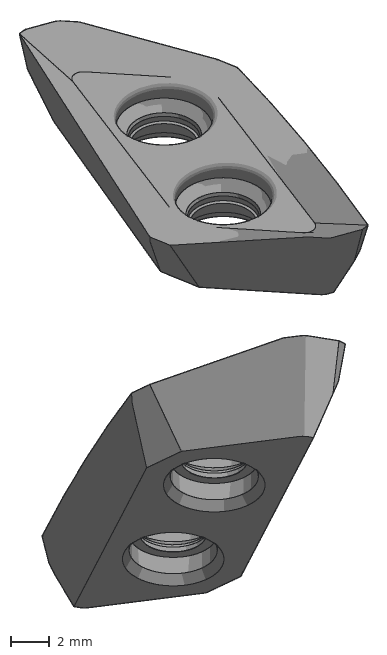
import cadquery as cq
import math


length = 23.0
width = 10.24
rim_height = 5.0
seat_height = 3.52

relief_angle = 19.5
facet_relief_angle = 26.5
long_wall_turn = -1.6
facet_turn = 31.0
slant_turn = 59.5
end_turn = 90.0
facet_base_start = (4.37, -3.89)
facet_base_end = (6.45, -2.65)

nose_edge_y = -4.32
nose_x, nose_y = -11.3, -4.74
edge_middle_x, edge_middle_y, edge_middle_z = -1.85, -5.05, 4.4
slant_peak_y = 1.5
slant_crease_share = 1 / 3
wall_round = 0.83

band_start_height = 3.04
band_middle_height = 3.15
nose_low_height = 2.3
nose_low_width = 0.1

hole_x, hole_y = 3.77, -0.05
hole_rim_radius = 3.0
seat_margin = 0.1
seat_acute_round = 0.6
seat_crease_y = 1.5
seat_blend_y = 2.05
seat_facet_angle = -66.0
sink_radius, sink_top, sink_bottom = 2.48, 3.04, 2.6
cone_top_radius, cone_top = 2.25, 2.35
cone_bottom_radius, cone_bottom = 1.93, 2.07
neck_radius, neck_top, neck_bottom = 1.86, 1.89, 1.59
throat_radius, throat_height = 1.72, 1.52
relief_bore_radius, relief_bore_bottom = 2.28, 0.53
mouth_radius = 2.62


def heading(angle):
    return (math.cos(math.radians(angle)), math.sin(math.radians(angle)))


def meet(point_a, turn_a, point_b, turn_b):
    """Point where two plan lines cross."""
    (ax, ay), (bx, by) = heading(turn_a), heading(turn_b)
    dx, dy = point_b[0] - point_a[0], point_b[1] - point_a[1]
    reach = (dx * by - dy * bx) / (ax * by - ay * bx)
    return (point_a[0] + reach * ax, point_a[1] + reach * ay)


def tangent(angle):
    return math.tan(math.radians(angle))


def wall_point(wall, z):
    """A plan point on the wall at height z, moved outward by its relief."""
    (x, y), turn, relief = wall
    dx, dy = heading(turn)
    offset = z * tangent(relief)
    return (x + offset * dy, y - offset * dx)


def wall_corner(wall_a, wall_b, z):
    """Point shared by two walls at height z."""
    x, y = meet(wall_point(wall_a, z), wall_a[1], wall_point(wall_b, z), wall_b[1])
    return cq.Vector(x, y, z)


def wall_at_x(wall, x, z):
    return cq.Vector(*meet(wall_point(wall, z), wall[1], (x, 0), end_turn), z)


def wall_at_y(wall, y, z):
    return cq.Vector(*meet(wall_point(wall, z), wall[1], (0, y), 0), z)


def on_circle(center, radius, angle, z):
    dx, dy = heading(angle)
    return cq.Vector(center[0] + radius * dx, center[1] + radius * dy, z)


def rounded(corner, turn_in, turn_out, radius):
    """Start, middle and end of the tangent arc rounding a left-turning corner."""
    half_turn = math.radians(turn_out - turn_in) / 2
    start_x, start_y = heading(turn_in)
    setback = radius * math.tan(half_turn)
    center = (corner.x - setback * start_x - radius * start_y,
              corner.y - setback * start_y + radius * start_x)
    angles = (turn_in - 90, (turn_in + turn_out) / 2 - 90, turn_out - 90)
    return [on_circle(center, radius, angle, corner.z) for angle in angles]


def half_turn_image(point):
    return cq.Vector(-point.x, -point.y, point.z)


def line(start, end):
    return cq.Edge.makeLine(start, end)


def arc(start, middle, end):
    return cq.Edge.makeThreePointArc(start, middle, end)


def path(*points):
    return [line(start, end) for start, end in zip(points, points[1:])]


def flat_face(*edges):
    return cq.Face.makeFromWires(cq.Wire.assembleEdges(edges))


def ruled(edge_a, edge_b):
    return cq.Face.makeRuledSurface(edge_a, edge_b)


end_base_x = length / 2 - rim_height * tangent(relief_angle)
long_wall = (facet_base_start, long_wall_turn, relief_angle)
facet_wall = (facet_base_start, facet_turn, facet_relief_angle)
slant_wall = (facet_base_end, slant_turn, relief_angle)
end_wall = ((end_base_x, 0), end_turn, relief_angle)
far_end_wall = ((-end_base_x, 0), -end_turn, relief_angle)

base_acute = wall_corner(far_end_wall, long_wall, 0)
base_facet_start = wall_corner(long_wall, facet_wall, 0)
base_facet_end = wall_corner(facet_wall, slant_wall, 0)
base_round = rounded(wall_corner(slant_wall, end_wall, 0), slant_turn, end_turn, wall_round)
next_base_acute = half_turn_image(base_acute)

nose_low = wall_corner(far_end_wall, long_wall, nose_low_height)
band_start_corner = wall_corner(far_end_wall, long_wall, band_start_height)
band_start = wall_at_x(long_wall, band_start_corner.x + nose_low_width, band_start_height)
band_middle = wall_at_x(long_wall, edge_middle_x, band_middle_height)
band_end = wall_corner(long_wall, facet_wall, band_start_height)

nose_end = cq.Vector(-length / 2, nose_edge_y, rim_height)
nose_start = cq.Vector(nose_x, nose_y, rim_height)
edge_middle = cq.Vector(edge_middle_x, edge_middle_y, edge_middle_z)
rim_facet_start = wall_at_y(facet_wall, -width / 2, seat_height)
rim_facet_end = wall_corner(facet_wall, slant_wall, seat_height)
slant_peak = wall_at_y(slant_wall, slant_peak_y, rim_height)
slant_crease = rim_facet_end + (slant_peak - rim_facet_end) * slant_crease_share
rim_round = rounded(wall_corner(slant_wall, end_wall, rim_height), slant_turn, end_turn, wall_round)
next_nose_end = half_turn_image(nose_end)

hole_center = (hole_x, hole_y)
seat_round = hole_rim_radius + seat_margin


def seat_arc_point(angle):
    """Point on the seat corner arc, concentric with the hole."""
    return on_circle(hole_center, seat_round, angle, seat_height)


arc_start_angle = -90
arc_end_angle = slant_turn - 90
seat_low = seat_arc_point(arc_start_angle)
seat_facet = seat_arc_point(seat_facet_angle)
seat_facet_middle = seat_arc_point((arc_start_angle + seat_facet_angle) / 2)
seat_blunt_middle = seat_arc_point((seat_facet_angle + arc_end_angle) / 2)
seat_slant_start = seat_arc_point(arc_end_angle)
seat_slant_xy = (seat_slant_start.x, seat_slant_start.y)
seat_crease = cq.Vector(*meet(seat_slant_xy, slant_turn, (0, seat_crease_y), 0), seat_height)
seat_blend = cq.Vector(*meet(seat_slant_xy, slant_turn, (0, seat_blend_y), 0), seat_height)
seat_acute = cq.Vector(*meet(seat_slant_xy, slant_turn, (0, -seat_low.y), 0), seat_height)
acute_start, acute_middle, acute_end = rounded(seat_acute, slant_turn, 180, seat_acute_round)
seat_start = half_turn_image(acute_end)

band_low_edge = arc(band_start, band_middle, band_end)
cutting_edge = cq.Edge.makeSpline([nose_start, edge_middle, rim_facet_start])
base_round_edge = arc(*base_round)
rim_round_edge = arc(*rim_round)

base_edges = path(base_acute, base_facet_start, base_facet_end, base_round[0])
base_edges += [base_round_edge, line(base_round[2], next_base_acute)]

seat_pieces = {
    "long": line(seat_start, seat_low),
    "facet": arc(seat_low, seat_facet_middle, seat_facet),
    "blunt": arc(seat_facet, seat_blunt_middle, seat_slant_start),
    "slant": line(seat_slant_start, seat_crease),
    "peak": line(seat_crease, seat_blend),
    "blend": line(seat_blend, acute_start),
    "acute": arc(acute_start, acute_middle, acute_end),
}


def side_faces():
    """Walls of half the part, from the base up to the cutting rim."""
    next_nose_low = half_turn_image(nose_low)
    return [
        flat_face(*path(base_acute, base_facet_start, band_end), band_low_edge,
                  *path(band_start, nose_low, base_acute)),
        ruled(band_low_edge, cutting_edge),
        ruled(line(nose_low, band_start), line(nose_end, nose_start)),
        flat_face(*path(base_facet_start, base_facet_end, rim_facet_end, rim_facet_start,
                        band_end, base_facet_start)),
        flat_face(*path(base_facet_end, base_round[0], rim_round[0], slant_peak, slant_crease,
                        rim_facet_end, base_facet_end)),
        ruled(base_round_edge, rim_round_edge),
        flat_face(*path(base_round[2], next_base_acute, next_nose_low, next_nose_end,
                        rim_round[2], base_round[2])),
    ]


def rake_faces():
    """Faces of half the part, from the seat up to the cutting rim."""
    return [
        flat_face(*path(nose_end, nose_start, seat_start, nose_end)),
        ruled(seat_pieces["long"], cutting_edge),
        ruled(seat_pieces["facet"], line(rim_facet_start, rim_facet_end)),
        ruled(seat_pieces["blunt"], line(rim_facet_end, slant_crease)),
        ruled(seat_pieces["slant"], line(slant_crease, slant_peak)),
        ruled(seat_pieces["peak"], line(slant_peak, rim_round[0])),
        ruled(seat_pieces["blend"], rim_round_edge),
        ruled(seat_pieces["acute"], line(rim_round[2], next_nose_end)),
    ]


def with_half_turn(shapes):
    axis_start, axis_end = cq.Vector(0, 0, 0), cq.Vector(0, 0, 1)
    return shapes + [shape.rotate(axis_start, axis_end, 180) for shape in shapes]


def insert_blank():
    base = flat_face(*with_half_turn(base_edges))
    seat = flat_face(*with_half_turn(list(seat_pieces.values())))
    shell = cq.Shell.makeShell([base, seat] + with_half_turn(side_faces() + rake_faces()))
    return cq.Workplane(cq.Solid.makeSolid(shell).fix())


def screw_hole():
    """Stepped bore: rounded rim, head seat, throat and a relieved mouth below."""
    rim_middle_share = math.sqrt(0.5)
    rim_middle = (hole_rim_radius - (hole_rim_radius - sink_radius) * rim_middle_share,
                  sink_top + (seat_height - sink_top) * rim_middle_share)
    profile = (
        cq.Workplane("XZ")
        .moveTo(0, 0)
        .lineTo(mouth_radius, 0)
        .lineTo(relief_bore_radius, relief_bore_bottom)
        .lineTo(relief_bore_radius, throat_height)
        .lineTo(throat_radius, throat_height)
        .lineTo(neck_radius, neck_bottom)
        .lineTo(neck_radius, neck_top)
        .lineTo(cone_bottom_radius, cone_bottom)
        .lineTo(cone_top_radius, cone_top)
        .tangentArcPoint((sink_radius, sink_bottom), relative=False)
        .lineTo(sink_radius, sink_top)
        .threePointArc(rim_middle, (hole_rim_radius, seat_height))
        .lineTo(hole_rim_radius, rim_height)
        .lineTo(0, rim_height)
        .close()
    )
    return profile.revolve(360, (0, 0, 0), (0, 1, 0))


hole = screw_hole()
result = insert_blank()
for side in (1, -1):
    result = result.cut(hole.translate((side * hole_x, side * hole_y, 0)))